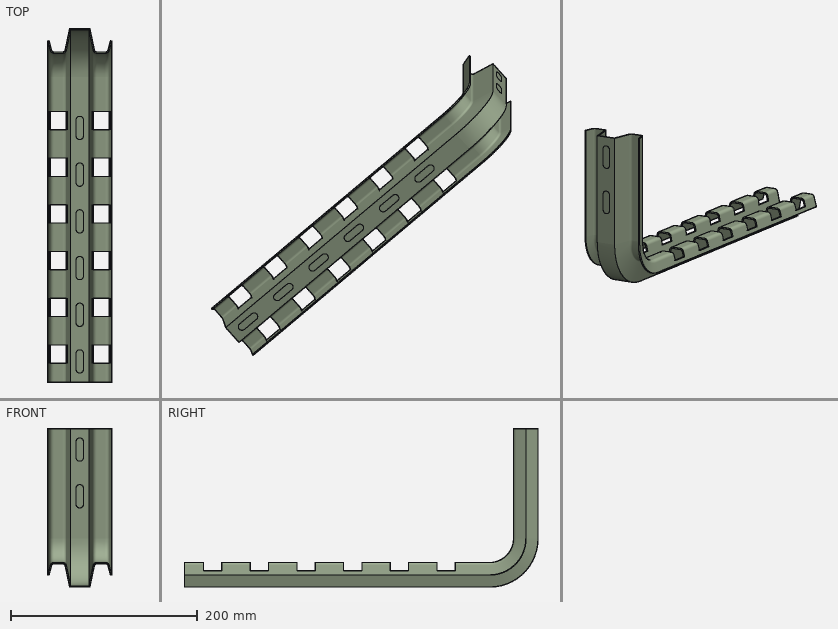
import cadquery as cq
import math

WIDTH = 68.5
LENGTH = 378.7
HEIGHT = 169.5

SHEET = 1.5
DEPTH = 26.5
FLOOR_WIDTH = 19.5
LIP_TIP_HEIGHT = 13.3
FOLD_RADIUS = 4.0
WALL_LEAN = math.radians(12)
LIP_LEAN = math.radians(15)

BEND_RADIUS = 52.0

PITCH = 50.0
SLOT_LENGTH = 25.0
SLOT_WIDTH = 8.0
SLOT_DEPTH = SHEET / 2
SLOT_END_OFFSET = 22.5
ARM_SLOTS = 6
LEG_SLOTS = 2

WINDOWS = 6
WINDOW_LENGTH = 19.5
WINDOW_DEPTH = 8.7
WINDOW_END_OFFSET = 30.3

ARM_END = -LENGTH / 2
LEG_BACK = LENGTH / 2
ARM_BACK = -HEIGHT / 2
LEG_END = HEIGHT / 2


def polar(center, radius, angle):
    """Point at the given radius and angle from a center."""
    return (center[0] + radius * math.cos(angle), center[1] + radius * math.sin(angle))


def fold_shift(height, lean):
    """Sideways distance from a fold centre to the leaning face at the given height."""
    below_center = DEPTH - FOLD_RADIUS - height
    return (FOLD_RADIUS + below_center * math.sin(lean)) / math.cos(lean)


def half_section():
    """Outline of the +X half of the sheet section, standing on the channel back."""
    inside_radius = FOLD_RADIUS - SHEET
    fold_height = DEPTH - FOLD_RADIUS
    wall_fold = (FLOOR_WIDTH / 2 + fold_shift(SHEET, WALL_LEAN), fold_height)
    lip_fold = (WIDTH / 2 - fold_shift(LIP_TIP_HEIGHT, LIP_LEAN), fold_height)

    wall_angle = math.pi - WALL_LEAN
    lip_angle = LIP_LEAN
    up = math.pi / 2
    wall_middle = (wall_angle + up) / 2
    lip_middle = (lip_angle + up) / 2

    lip_tip = (WIDTH / 2, LIP_TIP_HEIGHT)
    lip_tip_inside = polar(lip_tip, SHEET, math.pi + LIP_LEAN)
    back_corner = FLOOR_WIDTH / 2 - SHEET * math.tan(WALL_LEAN) + SHEET / math.cos(WALL_LEAN)

    return (
        cq.Workplane("XZ", origin=(0, ARM_END, ARM_BACK))
        .moveTo(0, SHEET)
        .lineTo(FLOOR_WIDTH / 2, SHEET)
        .lineTo(*polar(wall_fold, FOLD_RADIUS, wall_angle))
        .threePointArc(polar(wall_fold, FOLD_RADIUS, wall_middle), polar(wall_fold, FOLD_RADIUS, up))
        .lineTo(*polar(lip_fold, FOLD_RADIUS, up))
        .threePointArc(polar(lip_fold, FOLD_RADIUS, lip_middle), polar(lip_fold, FOLD_RADIUS, lip_angle))
        .lineTo(*lip_tip)
        .lineTo(*lip_tip_inside)
        .lineTo(*polar(lip_fold, inside_radius, lip_angle))
        .threePointArc(polar(lip_fold, inside_radius, lip_middle), polar(lip_fold, inside_radius, up))
        .lineTo(*polar(wall_fold, inside_radius, up))
        .threePointArc(polar(wall_fold, inside_radius, wall_middle), polar(wall_fold, inside_radius, wall_angle))
        .lineTo(back_corner, 0)
        .lineTo(0, 0)
        .close()
    )


def bent_rail():
    """Section carried along the arm, round the bend and up the leg."""
    bend_center = (LEG_BACK - BEND_RADIUS, ARM_BACK + BEND_RADIUS)
    path = (
        cq.Workplane("YZ")
        .moveTo(ARM_END, ARM_BACK)
        .lineTo(bend_center[0], ARM_BACK)
        .threePointArc(polar(bend_center, BEND_RADIUS, -math.pi / 4), (LEG_BACK, bend_center[1]))
        .lineTo(LEG_BACK, LEG_END)
    )
    half = half_section().sweep(path)
    return half.union(half.mirror("YZ"))


def arm_slots():
    """Slot recesses along the floor of the arm."""
    centers = [(0, ARM_END + SLOT_END_OFFSET + i * PITCH) for i in range(ARM_SLOTS)]
    return (
        cq.Workplane("XY", origin=(0, 0, ARM_BACK + SHEET))
        .pushPoints(centers)
        .slot2D(SLOT_LENGTH, SLOT_WIDTH, 90)
        .extrude(-SLOT_DEPTH)
    )


def leg_slots():
    """Slot recesses near the top of the leg."""
    centers = [(0, LEG_END - SLOT_END_OFFSET - i * PITCH) for i in range(LEG_SLOTS)]
    return (
        cq.Workplane("XZ", origin=(0, LEG_BACK - SHEET, 0))
        .pushPoints(centers)
        .slot2D(SLOT_LENGTH, SLOT_WIDTH, 90)
        .extrude(-SLOT_DEPTH)
    )


def flange_windows():
    """Blocks that open the flanges and the tops of the walls and lips along the arm."""
    centers = [(0, ARM_END + WINDOW_END_OFFSET + i * PITCH) for i in range(WINDOWS)]
    return (
        cq.Workplane("XY", origin=(0, 0, ARM_BACK + DEPTH))
        .pushPoints(centers)
        .rect(WIDTH, WINDOW_LENGTH)
        .extrude(-WINDOW_DEPTH)
    )


result = bent_rail().cut(arm_slots()).cut(leg_slots()).cut(flange_windows())